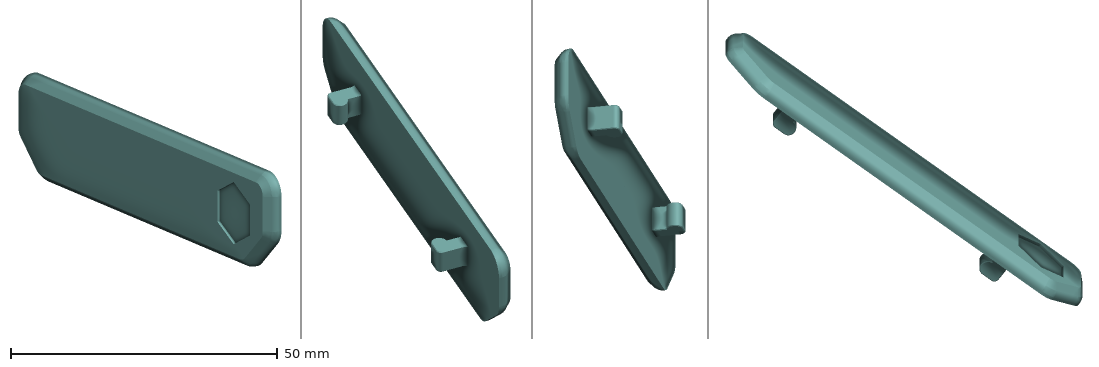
import cadquery as cq
import math

length = 83.2
height = 20.0
thickness = 3.1
corner_radius = 4.0
lower_chamfer = 7.5

bevel = 1.75
bevel_blend_radius = 1.75

hook_reach = 5.9
hook_height = 4.8
hook_bottom = 8.1
hook_outer_x = 26.5
post_width = 3.1
nose_overhang = 1.4
nose_upper_radius = 1.4
nose_lower_radius = 1.75
hook_top_radius = 1.0
foot_height = 1.0
foot_flare = 0.3
hook_edge_chamfer = 0.2
hook_root_depth = 0.8

pocket_x = 30.4
pocket_z = 10.3
pocket_across_corners = 12.2
pocket_depth = 0.6


def make_plate():
    """Rounded plate with cut lower corners and a bevelled front rim."""
    half = length / 2
    plate = (
        cq.Workplane("XZ")
        .polyline([
            (-half, height),
            (half, height),
            (half, lower_chamfer),
            (half - lower_chamfer, 0),
            (-half + lower_chamfer, 0),
            (-half, lower_chamfer),
        ])
        .close()
        .extrude(thickness)
        .edges("|Y")
        .fillet(corner_radius)
        .faces("<Y")
        .edges()
        .chamfer(bevel)
    )
    bevel_y = bevel - thickness
    margin = 0.1
    rim = cq.selectors.BoxSelector(
        (-length, bevel_y - margin, -height),
        (length, bevel_y + margin, 2 * height),
        boundingbox=True,
    )
    return plate.edges(rim).fillet(bevel_blend_radius)


def make_hook():
    """Hook on the +X side: a post with a rounded nose pointing towards -X."""
    inner_x = hook_outer_x - post_width
    tip_x = inner_x - nose_overhang
    tip_y = hook_reach - nose_upper_radius
    under_y = tip_y - math.sqrt(nose_lower_radius**2 - (nose_lower_radius - nose_overhang)**2)
    flare_radius = (foot_height**2 + foot_flare**2) / (2 * foot_flare)
    return (
        cq.Workplane("XY", origin=(0, 0, hook_bottom))
        .moveTo(inner_x, -hook_root_depth)
        .lineTo(inner_x, under_y)
        .radiusArc((tip_x, tip_y), nose_lower_radius)
        .radiusArc((tip_x + nose_upper_radius, hook_reach), nose_upper_radius)
        .lineTo(hook_outer_x - hook_top_radius, hook_reach)
        .radiusArc((hook_outer_x, hook_reach - hook_top_radius), hook_top_radius)
        .lineTo(hook_outer_x, foot_height)
        .radiusArc((hook_outer_x + foot_flare, 0), -flare_radius)
        .lineTo(hook_outer_x + foot_flare, -hook_root_depth)
        .close()
        .extrude(hook_height)
        .faces("<Z or >Z")
        .edges()
        .chamfer(hook_edge_chamfer)
    )


def make_pocket():
    """Hexagonal prism reaching from the front face into the plate."""
    return (
        cq.Workplane("XZ", origin=(pocket_x, pocket_depth - thickness, pocket_z))
        .transformed(rotate=(0, 0, 90))
        .polygon(6, pocket_across_corners)
        .extrude(pocket_depth)
    )


hook = make_hook()
result = make_plate().cut(make_pocket()).union(hook).union(hook.mirror("YZ"))